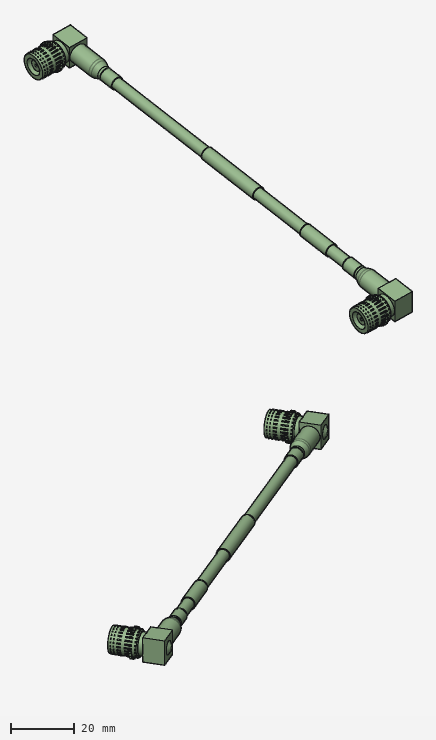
import cadquery as cq
import math

overall_length = 169.5
back_y = 10.0
mating_face_y = -9.8
ring_radius = 5.3
connector_axis_x = overall_length / 2 - ring_radius

cable_y = 5.3
cable_radius = 2.0
cable_half_length = 62.0
sleeve_radius = 2.4
end_sleeve_length = 5.6
centre_sleeve_length = 25.0
label_sleeve_start_x = 35.6
label_sleeve_length = 12.7

block_width = 8.1
block_height = 8.6
block_front_y = 1.7
block_back_y = 9.0
cap_base_radius = 2.4
cap_top_radius = 0.8

ferrule_radius = 3.4
ferrule_lip_radius = 3.2
ferrule_taper_start = 66.1
ferrule_lip = 65.0
ferrule_cone_end = 63.0

neck_radius = 3.9
barrel_radius = 4.5
barrel_back_y = 0.0
barrel_back_chamfer = 0.3

tooth_count = 24
tooth_root_radius = 4.2
tooth_crest_radius = 4.7
tooth_root_fraction = 0.4
tooth_crest_fraction = 0.3

knurl_rows = [
    (-0.5, -0.8, tooth_crest_radius),
    (-1.9, -2.9, ring_radius),
    (-3.0, -4.2, tooth_crest_radius),
    (-5.6, -6.8, tooth_crest_radius),
    (-7.8, -8.0, tooth_crest_radius),
    (-8.8, -9.0, tooth_crest_radius),
]

socket_radius = 3.0
socket_depth = 4.2
shoulder_radius = 2.5
shoulder_recess = 2.0
post_radius = 2.0
post_recess = 1.0
contact_hole_radius = 0.5
contact_hole_depth = 1.7


def rod(start_x, end_x, radius):
    """Solid cylinder on the cable axis."""
    return (
        cq.Workplane("YZ", origin=(start_x, cable_y, 0))
        .circle(radius)
        .extrude(end_x - start_x)
    )


def disc(rear_y, front_y, radius):
    """Solid cylinder on the left connector's mating axis."""
    return (
        cq.Workplane("XZ", origin=(-connector_axis_x, rear_y, 0))
        .circle(radius)
        .extrude(rear_y - front_y)
    )


def make_sleeve(start_x, length):
    """Tube that fits on the cable."""
    end_x = start_x + length
    return rod(start_x, end_x, sleeve_radius).cut(rod(start_x, end_x, cable_radius))


def make_block():
    """Right-angle block with the tapered cap on its back."""
    block_depth = block_back_y - block_front_y
    block_centre = (-connector_axis_x, (block_front_y + block_back_y) / 2, 0)
    block = cq.Workplane("XY", origin=block_centre).box(block_width, block_depth, block_height)
    cap = cq.Solid.makeCone(
        cap_base_radius,
        cap_top_radius,
        back_y - block_back_y,
        pnt=cq.Vector(-connector_axis_x, block_back_y, 0),
        dir=cq.Vector(0, 1, 0),
    )
    return block.union(cq.Workplane(cap))


def make_ferrule():
    """Crimp ferrule that tapers down to a collar against the end sleeve."""
    half_outline = [
        (-connector_axis_x, 0),
        (-connector_axis_x, ferrule_radius),
        (-ferrule_taper_start, ferrule_radius),
        (-ferrule_lip, ferrule_lip_radius),
        (-ferrule_cone_end, sleeve_radius),
        (-cable_half_length, sleeve_radius),
        (-cable_half_length, 0),
    ]
    return (
        cq.Workplane("XY", origin=(0, cable_y, 0))
        .polyline(half_outline)
        .close()
        .revolve(360, (0, 0, 0), (1, 0, 0))
    )


def make_knurl_row(rear_y, front_y, crest_radius):
    """One row of flat-topped teeth around the mating axis."""
    pitch_angle = 2 * math.pi / tooth_count
    tooth_corners = [
        (-tooth_root_fraction / 2, tooth_root_radius),
        (-tooth_crest_fraction / 2, crest_radius),
        (tooth_crest_fraction / 2, crest_radius),
        (tooth_root_fraction / 2, tooth_root_radius),
    ]
    outline = []
    for index in range(tooth_count):
        for offset, radius in tooth_corners:
            angle = (index + offset) * pitch_angle
            outline.append((radius * math.cos(angle), radius * math.sin(angle)))
    return (
        cq.Workplane("XZ", origin=(-connector_axis_x, rear_y, 0))
        .polyline(outline)
        .close()
        .extrude(rear_y - front_y)
    )


def make_nut():
    """Knurled coupling nut with an open socket and a contact post."""
    nut = disc(barrel_back_y, mating_face_y, barrel_radius).faces(">Y").chamfer(barrel_back_chamfer)
    for rear_y, front_y, crest_radius in knurl_rows:
        nut = nut.union(make_knurl_row(rear_y, front_y, crest_radius))

    socket_floor_y = mating_face_y + socket_depth
    shoulder_y = mating_face_y + shoulder_recess
    post_face_y = mating_face_y + post_recess
    nut = nut.cut(disc(socket_floor_y, mating_face_y, socket_radius))
    nut = nut.union(disc(socket_floor_y, shoulder_y, shoulder_radius))
    nut = nut.union(disc(shoulder_y, post_face_y, post_radius))
    return nut.cut(disc(post_face_y + contact_hole_depth, post_face_y, contact_hole_radius))


def make_connector():
    """Left connector, in place."""
    neck = disc(block_front_y, barrel_back_y, neck_radius)
    return make_block().union(make_ferrule()).union(neck).union(make_nut())


cable = rod(-cable_half_length, cable_half_length, cable_radius)

left_connector = make_connector()
connectors = []
for turn in (0, 180):
    connectors.append(left_connector.rotate((0, 0, 0), (0, 1, 0), turn).val())

end_sleeves = []
for start_x in (-cable_half_length, cable_half_length - end_sleeve_length):
    end_sleeves.append(make_sleeve(start_x, end_sleeve_length).val())

centre_sleeve = make_sleeve(-centre_sleeve_length / 2, centre_sleeve_length)
label_sleeve = make_sleeve(label_sleeve_start_x, label_sleeve_length)

result = cq.Compound.makeCompound(
    [cable.val(), *connectors, *end_sleeves, centre_sleeve.val(), label_sleeve.val()]
)